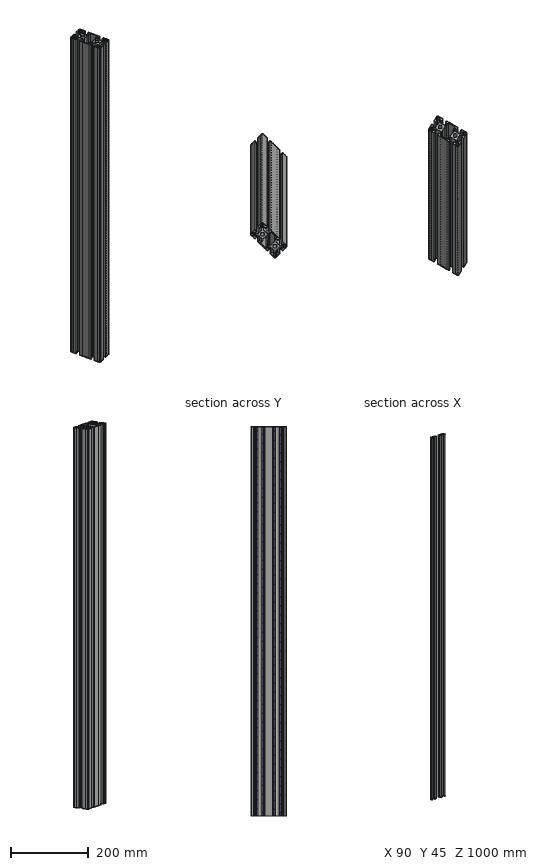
import cadquery as cq

module = 45.0
width = 2 * module
length = 1000.0
corner_radius = 3.0

slot_opening = 10.0
slot_inner_width = 20.0
core_size = 20.0
slot_depth = (module - core_size) / 2
slot_chamfer = 3.0
lip_thickness = 6.0

core_bore_diameter = 10.0
web = 2.5
outer_wall = 2.5
cell_chamfer = 1.0

core_spacing = width - module
core_offsets = (-core_spacing / 2, core_spacing / 2)


def prism(outline):
    """Extrude a closed outline over the full length."""
    return cq.Workplane("XY").polyline(outline).close().extrude(length)


def t_slot():
    """Slot cutter around X = 0, opening at Y = 0 and running towards -Y."""
    mouth = slot_opening / 2
    inner = slot_inner_width / 2
    right_side = [
        (mouth, 0),
        (mouth, -lip_thickness),
        (inner, -lip_thickness),
        (inner, slot_chamfer - slot_depth),
        (inner - slot_chamfer, -slot_depth),
    ]
    left_side = [(-x, y) for x, y in reversed(right_side)]
    return prism(right_side + left_side)


def central_cavity():
    """Large chamber between the two cores, narrowed beside the slots."""
    wide = (core_spacing - core_size) / 2
    narrow = (core_spacing - slot_inner_width) / 2 - web
    top = module / 2 - outer_wall
    step_end = core_size / 2
    step_start = step_end - (wide - narrow)
    upper_right = [(wide, step_start), (narrow, step_end), (narrow, top)]
    upper_left = [(-x, y) for x, y in reversed(upper_right)]
    upper = upper_right + upper_left
    lower = [(-x, -y) for x, y in upper]
    return prism(upper + lower)


def corner_cells():
    """Closed square cell with chamfered corners inside each of the four outer corners."""
    far_side = (module - slot_inner_width) / 2 - web
    size = far_side - outer_wall
    inset = outer_wall + size / 2
    return (
        cq.Workplane("XY")
        .rect(width - 2 * inset, module - 2 * inset, forConstruction=True)
        .vertices()
        .rect(size, size)
        .extrude(length)
        .edges("|Z")
        .chamfer(cell_chamfer)
    )


result = cq.Workplane("XY").rect(width, module).extrude(length)
result = result.edges("|Z").fillet(corner_radius)

for x in core_offsets:
    upper_slot = t_slot().translate((x, module / 2, 0))
    result = result.cut(upper_slot).cut(upper_slot.mirror("XZ"))

left_slot = t_slot().rotate((0, 0, 0), (0, 0, 1), 90).translate((-width / 2, 0, 0))
result = result.cut(left_slot).cut(left_slot.mirror("YZ"))

result = result.cut(central_cavity()).cut(corner_cells())

bores = cq.Workplane("XY").pushPoints([(x, 0) for x in core_offsets])
result = result.cut(bores.circle(core_bore_diameter / 2).extrude(length))